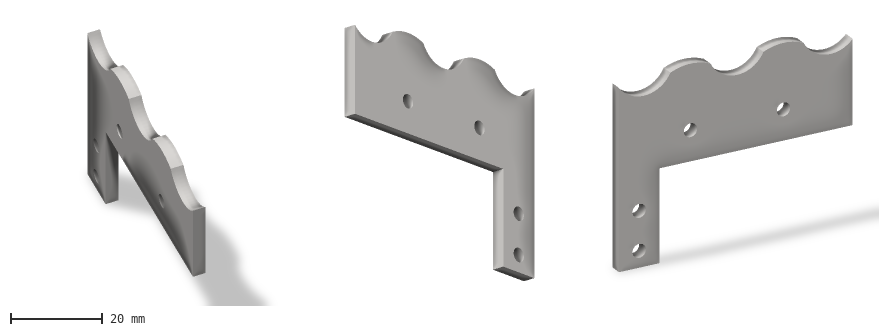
import cadquery as cq
import math

length = 58.2
height = 46.0
thickness = 3.0
leg_width = 10.1
arm_bottom = 22.65

pitch = 23.2
first_crest_x = 17.8
first_valley_x = first_crest_x - pitch / 2
valley_bottom = 40.8
valley_radius = 7.7
crest_half_width = 5.0
crest_radius = 12.05

hole_diameter = 3.3
arm_hole_z = 30.1
leg_hole_x = leg_width / 2
leg_hole_heights = (4.0, 13.55)

crest_xs = [first_crest_x, first_crest_x + pitch]
valley_xs = [first_valley_x + i * pitch for i in range(3)]


def valley_z(x, center_x):
    """Height of a valley arc at x."""
    return valley_bottom + valley_radius - math.sqrt(valley_radius**2 - (x - center_x) ** 2)


crest_end_z = height - crest_radius + math.sqrt(crest_radius**2 - crest_half_width**2)

outline = cq.Workplane("XZ").moveTo(0, 0).lineTo(0, valley_z(0, valley_xs[0]))
for valley_x, crest_x in zip(valley_xs, crest_xs):
    outline = outline.threePointArc((valley_x, valley_bottom), (crest_x - crest_half_width, crest_end_z))
    outline = outline.threePointArc((crest_x, height), (crest_x + crest_half_width, crest_end_z))
outline = (
    outline.threePointArc((valley_xs[-1], valley_bottom), (length, valley_z(length, valley_xs[-1])))
    .lineTo(length, arm_bottom)
    .lineTo(leg_width, arm_bottom)
    .lineTo(leg_width, 0)
    .close()
)
plate = outline.extrude(-thickness)

hole_centers = [(x, arm_hole_z) for x in crest_xs] + [(leg_hole_x, z) for z in leg_hole_heights]
holes = cq.Workplane("XZ").pushPoints(hole_centers).circle(hole_diameter / 2).extrude(-thickness)
result = plate.cut(holes)